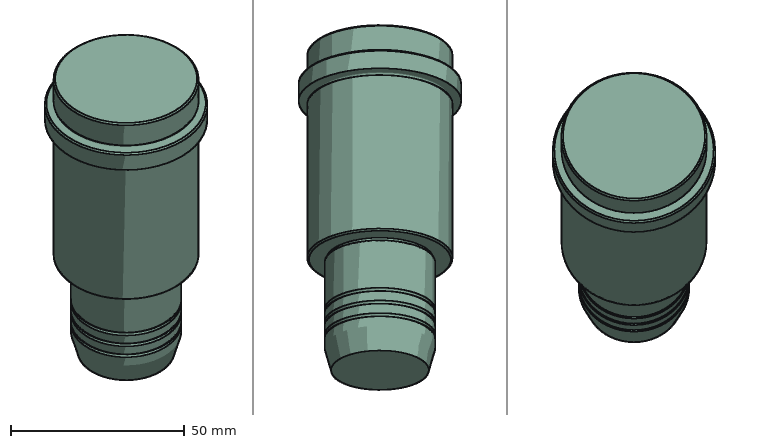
import cadquery as cq
import math

total_height = 100.0
cap_height = 8.0
flange_thickness = 6.0
body_bottom = 35.0
taper_height = 7.0
lowest_ring_bottom = 10.0

flange_radius = 23.5
body_radius = 21.0
spigot_radius = 16.0
taper_angle = 15.0

edge_chamfer = 0.5
groove_width = 1.0
relief_depth = 0.5
ring_pitch = 4.0
ring_count = 3

groove_radius = groove_width / 2
flange_top = total_height - cap_height - groove_width
flange_bottom = flange_top - flange_thickness
spigot_top = body_bottom - groove_width
tip_radius = spigot_radius - taper_height * math.tan(math.radians(taper_angle))


def round_groove(profile, surface_radius, bottom):
    """Continue the profile upwards through a semicircular groove."""
    return profile.lineTo(-surface_radius, bottom).threePointArc(
        (-(surface_radius - groove_radius), bottom + groove_radius),
        (-surface_radius, bottom + groove_width),
    )


profile = cq.Workplane("XZ").moveTo(0, 0).lineTo(-tip_radius, 0).lineTo(-spigot_radius, taper_height)

for index in range(ring_count):
    profile = round_groove(profile, spigot_radius, lowest_ring_bottom + index * ring_pitch)

profile = (
    profile.lineTo(-spigot_radius, spigot_top)
    .lineTo(-(spigot_radius - relief_depth), spigot_top)
    .lineTo(-(spigot_radius - relief_depth), body_bottom)
)

profile = profile.lineTo(-(body_radius - edge_chamfer), body_bottom)
profile = profile.lineTo(-body_radius, body_bottom + edge_chamfer)
profile = round_groove(profile, body_radius, flange_bottom - groove_width)

profile = (
    profile.lineTo(-flange_radius, flange_bottom)
    .lineTo(-flange_radius, flange_top - edge_chamfer)
    .lineTo(-(flange_radius - edge_chamfer), flange_top)
    .lineTo(-body_radius, flange_top)
)

profile = (
    profile.threePointArc(
        (-(body_radius - groove_radius), flange_top + groove_radius),
        (-body_radius, flange_top + groove_width),
    )
    .lineTo(-body_radius, total_height - edge_chamfer)
    .lineTo(-(body_radius - edge_chamfer), total_height)
    .lineTo(0, total_height)
)

result = profile.close().revolve(360, (0, 0), (0, 1))